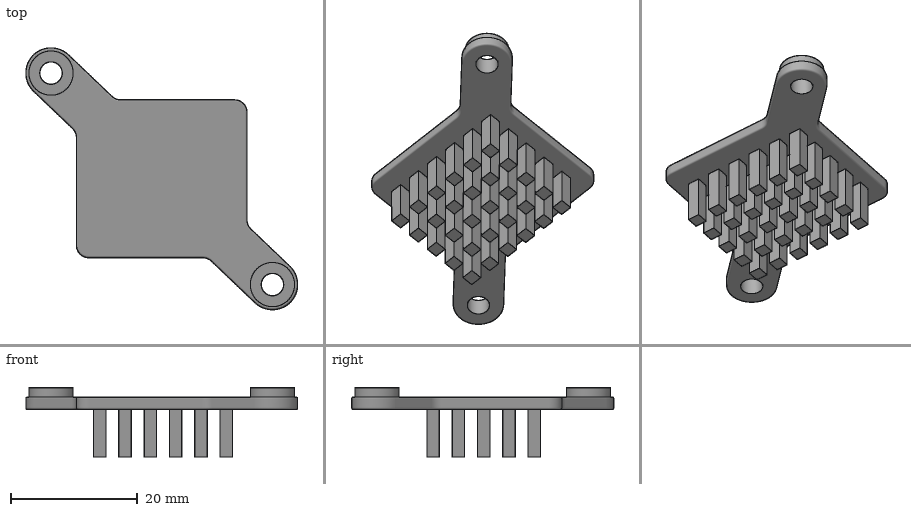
import cadquery as cq
import math

plate_length = 27.0
plate_width = 25.0
plate_thickness = 2.0
corner_radius = 2.0
edge_round = 0.3

hole_spacing_x = 35.0
hole_spacing_y = 33.43
ear_radius = 4.0
boss_radius = 3.5
boss_height = 1.5
hole_diameter = 3.5

pin_side = 2.0
pin_height = 7.5
pin_pitch = 4.0
pins_along_x = 6
pins_along_y = 5
pin_grid_offset_x = 0.2
pin_grid_offset_y = 0.15

hole_distance = math.hypot(hole_spacing_x, hole_spacing_y)
arm_angle = -math.degrees(math.atan2(hole_spacing_y, hole_spacing_x))
hole_centers = [
    (-hole_spacing_x / 2, hole_spacing_y / 2),
    (hole_spacing_x / 2, -hole_spacing_y / 2),
]


def make_plate():
    """Rectangle crossed by a diagonal round-ended arm, rounded all around."""
    body = cq.Workplane("XY").rect(plate_length, plate_width).extrude(plate_thickness)
    arm = (
        cq.Workplane("XY")
        .slot2D(hole_distance + 2 * ear_radius, 2 * ear_radius, arm_angle)
        .extrude(plate_thickness)
    )
    on_rectangle = cq.selectors.BoxSelector(
        (-plate_length / 2 - edge_round, -plate_width / 2 - edge_round, 0),
        (plate_length / 2 + edge_round, plate_width / 2 + edge_round, plate_thickness),
    )
    plate = body.union(arm).edges("|Z").edges(on_rectangle).fillet(corner_radius)
    return plate.faces("<Z or >Z").edges().fillet(edge_round)


def make_bosses():
    """Round seats standing on the ears."""
    return (
        cq.Workplane("XY")
        .pushPoints(hole_centers)
        .circle(boss_radius)
        .extrude(plate_thickness + boss_height)
    )


def make_pins():
    """Rectangular grid of square pins hanging from the plate."""
    return (
        cq.Workplane("XY")
        .center(pin_grid_offset_x, pin_grid_offset_y)
        .rarray(pin_pitch, pin_pitch, pins_along_x, pins_along_y)
        .rect(pin_side, pin_side)
        .extrude(-pin_height)
    )


def make_holes():
    """Screw holes through the bosses and ears."""
    return (
        cq.Workplane("XY")
        .pushPoints(hole_centers)
        .circle(hole_diameter / 2)
        .extrude(plate_thickness + boss_height)
    )


result = make_plate().union(make_bosses()).union(make_pins()).cut(make_holes())